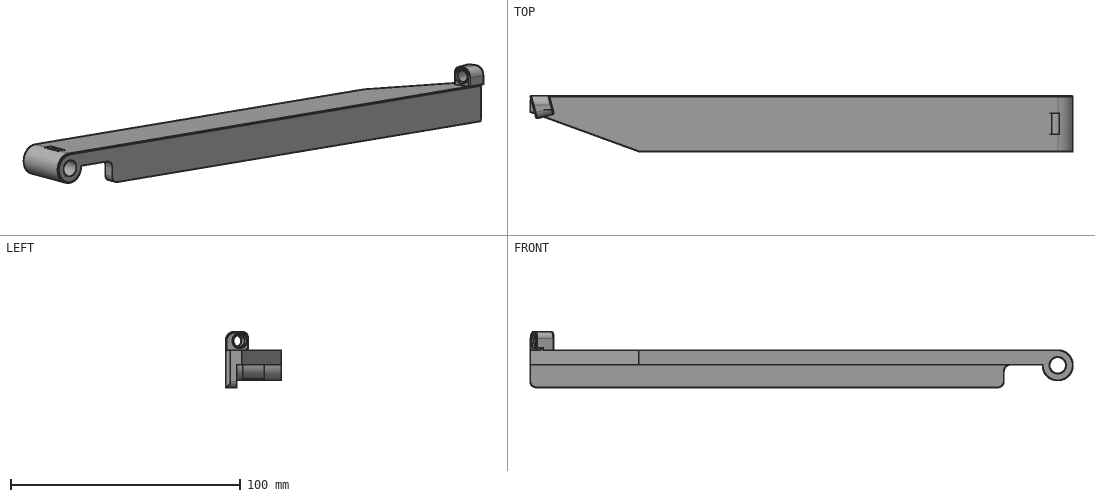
import cadquery as cq
import math

length = 237.0
width = 24.5
height = 24.5

holder_height = 8.0
holder_length = 8.0
holder_turn = 15.0
front_radius = 2.8
back_radius = 4.0
overhang_chamfer = 1.0
end_chamfer = 0.5
bore_radius = 2.5
bore_mouth_radius = 3.3
bore_axis_y = -6.2

plate_thickness = 6.5
nose_width = 7.0
taper_angle = 20.0
barrel_radius = 6.6
pin_radius = 3.5
back_edge_chamfer = 0.5

slot_inner_radius = 6.0
slot_outer_radius = 7.0
slot_width = 9.2
slot_overrun = 0.7

rib_thickness = 5.0
rib_length = 207.0
rib_corner_radius = 2.8
nose_chamfer = 2.1

plate_top = height - holder_height
plate_bottom = plate_top - plate_thickness
barrel_x = length - barrel_radius
barrel_z = plate_top - barrel_radius
bore_z = height - holder_height / 2
taper_length = (width - nose_width) / math.tan(math.radians(taper_angle))


def cylinder_along_y(radius, y_front, y_back):
    """Cylinder on the hinge axis between two y positions."""
    return (
        cq.Workplane("XZ", origin=(barrel_x, y_back, barrel_z))
        .circle(radius)
        .extrude(y_back - y_front)
    )


def nose_outline(x_end):
    """Plan outline of the arm from the nose to x_end."""
    return (
        cq.Workplane("XY")
        .polyline([(0, 0), (0, -nose_width), (taper_length, -width), (x_end, -width), (x_end, 0)])
        .close()
    )


def make_plate():
    """Tapered plate with the hinge barrel, the back edge broken along the plate top and the barrel."""
    plate = nose_outline(barrel_x).extrude(plate_thickness).translate((0, 0, plate_bottom))
    plate = plate.union(cylinder_along_y(barrel_radius, -width, 0))
    return plate.faces(">Y").edges(">Z or >X").chamfer(back_edge_chamfer)


def make_rib():
    """Rib with rounded lower corners and a concave fillet where its end meets the plate."""
    r = rib_corner_radius
    arc = r * (1 - math.sqrt(0.5))
    return (
        cq.Workplane("XZ")
        .moveTo(0, plate_bottom)
        .lineTo(0, r)
        .threePointArc((arc, arc), (r, 0))
        .lineTo(rib_length - r, 0)
        .threePointArc((rib_length - arc, arc), (rib_length, r))
        .lineTo(rib_length, plate_bottom - r)
        .threePointArc((rib_length + arc, plate_bottom - arc), (rib_length + r, plate_bottom))
        .close()
        .extrude(rib_thickness)
    )


def cut_nose_edge(body):
    """Chamfer the upright back edge of the nose."""
    wedge = (
        cq.Workplane("XY")
        .polyline([(0, 0), (nose_chamfer, 0), (0, -nose_chamfer)])
        .close()
        .extrude(plate_top)
    )
    return body.cut(wedge)


def make_strap_slot():
    """Arc slot, mostly on the nose side of the hinge axis, opening through the plate top and underside."""
    y_front = -(width + slot_width) / 2
    y_back = y_front + slot_width
    ring = cylinder_along_y(slot_outer_radius, y_front, y_back).cut(
        cylinder_along_y(slot_inner_radius, y_front, y_back)
    )
    nose_side = (
        cq.Workplane("XY")
        .box(barrel_x + slot_overrun, width, height, centered=False)
        .translate((0, -width, 0))
    )
    return ring.intersect(nose_side)


def holder_frame(shape):
    """Turn a shape drawn along +X from the origin onto the bore axis."""
    start_x = -bore_axis_y * math.tan(math.radians(holder_turn))
    return shape.rotate((0, 0, 0), (0, 0, 1), holder_turn).translate((start_x, bore_axis_y, bore_z))


def make_front_block():
    """Front half of the holder along +X, its front edges broken at both ends."""
    half = holder_height / 2
    block = (
        cq.Workplane("XY")
        .box(holder_length, half, holder_height)
        .translate((holder_length / 2, -half / 2, 0))
        .edges("|X and <Y and >Z")
        .fillet(front_radius)
    )
    return block.faces("<X or >X").edges("not (>Y or <Z)").chamfer(end_chamfer)


def make_shoulder():
    """Back half of the holder, square to the arm but with its ends square to the bore."""
    shoulder = (
        cq.Workplane("XY")
        .box(width, -bore_axis_y, holder_height, centered=False)
        .translate((0, bore_axis_y, plate_top))
        .edges("|X and >Y and >Z")
        .fillet(back_radius)
    )
    end_limits = (
        cq.Workplane("XY")
        .box(holder_length, 2 * width, 2 * height)
        .translate((holder_length / 2, 0, 0))
    )
    shoulder = shoulder.intersect(holder_frame(end_limits))

    turn = math.radians(holder_turn)
    bore_direction = cq.Vector(math.cos(turn), math.sin(turn), 0)
    end_faces = cq.selectors.ParallelDirSelector(bore_direction)
    return shoulder.faces(end_faces).edges("not (<Y or <Z)").chamfer(end_chamfer)


def make_holder():
    """Front block and shoulder; only what overhangs the tapered nose is chamfered underneath."""
    block = make_front_block()
    overhang = holder_frame(block.edges("|X and <Y and <Z").chamfer(overhang_chamfer))
    foot = holder_frame(block).intersect(nose_outline(length).extrude(height))
    return overhang.union(foot).union(make_shoulder())


def make_bore():
    """Through bore of the holder with a conical mouth at each end."""
    mouth_depth = bore_mouth_radius - bore_radius
    profile = [
        (0, 0),
        (0, bore_mouth_radius),
        (mouth_depth, bore_radius),
        (holder_length - mouth_depth, bore_radius),
        (holder_length, bore_mouth_radius),
        (holder_length, 0),
    ]
    bore = cq.Workplane("XY").polyline(profile).close().revolve(360, (0, 0, 0), (1, 0, 0))
    return holder_frame(bore)


hinge_pin_hole = cylinder_along_y(pin_radius, -width, 0)
arm = cut_nose_edge(make_plate().union(make_rib()))
arm = arm.cut(make_strap_slot()).cut(hinge_pin_hole)
result = arm.union(make_holder()).cut(make_bore())